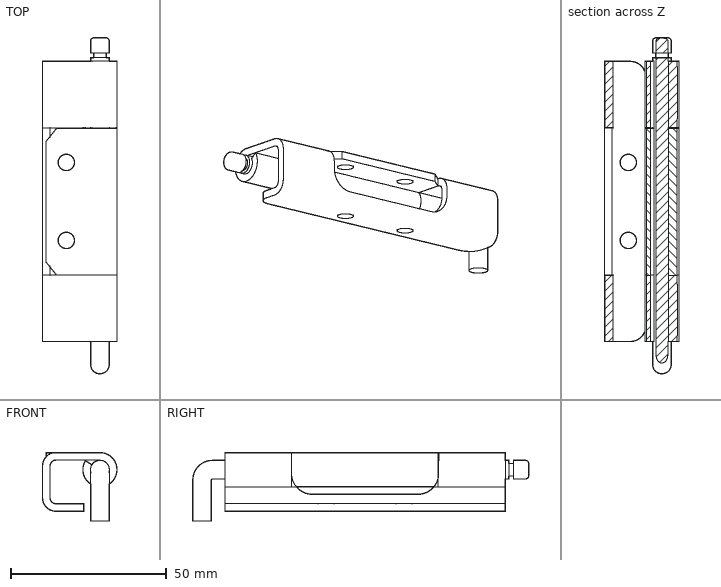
import cadquery as cq
import math


sheet = 2.5
pin_radius = 3.0
curl_radius = pin_radius + sheet
curl_end_angle = 148.0

bracket_length = 90.1
bracket_left = -18.5
bracket_height = 18.9
bracket_bottom = curl_radius - bracket_height
bend_radius = 4.3
lip_end = -5.2
lip_corner_radius = 5.0
window_length = 47.3
window_floor = -7.9
window_corner_radius = 6.7

end_gap = 0.2
leaf_length = window_length - end_gap
leaf_shift = -end_gap / 2
leaf_left = -17.3
leaf_chamfer_length = 4.1
leaf_chamfer_width = 3.3

hole_diameter = 5.2
hole_pitch = 25.1
hole_x = -10.8

pin_tip = 52.6
tip_rounding = 1.1
groove_top = 47.6
groove_bottom = 46.2
groove_radius = 2.0
elbow_radius = 3.3
elbow_start = -49.0
handle_end = -16.5


def rolled_profile(left):
    """Flat sheet from X = left to the pin, rolled clockwise round the pin (in the XZ plane)."""
    middle_angle = math.radians((curl_end_angle - 270.0) / 2)
    end_angle = math.radians(curl_end_angle)

    def on_circle(radius, angle):
        return (radius * math.cos(angle), radius * math.sin(angle))

    return (
        cq.Workplane("XZ")
        .moveTo(left, curl_radius)
        .lineTo(0, curl_radius)
        .threePointArc(on_circle(curl_radius, middle_angle), on_circle(curl_radius, end_angle))
        .lineTo(*on_circle(pin_radius, end_angle))
        .threePointArc(on_circle(pin_radius, middle_angle), (0, pin_radius))
        .lineTo(left, pin_radius)
        .close()
    )


def screw_holes():
    """Vertical cutters for the two screw holes."""
    return (
        cq.Workplane("XY", origin=(hole_x, 0, bracket_bottom))
        .rarray(1.1, hole_pitch, 1, 2)
        .circle(hole_diameter / 2)
        .extrude(bracket_height)
    )


def make_bracket():
    """C-shaped bracket with a rolled edge, cut open in the middle for the leaf."""
    rolled_sheet = rolled_profile(bracket_left + bend_radius).extrude(bracket_length / 2, both=True)

    inner_left = bracket_left + sheet
    bend_x = bracket_left + bend_radius
    inner_bend = bend_radius - sheet
    diagonal = math.sqrt(0.5)
    upper_bend_z = curl_radius - bend_radius
    lower_bend_z = bracket_bottom + bend_radius
    channel = (
        cq.Workplane("XZ")
        .moveTo(bend_x, curl_radius)
        .threePointArc(
            (bend_x - bend_radius * diagonal, upper_bend_z + bend_radius * diagonal),
            (bracket_left, upper_bend_z),
        )
        .lineTo(bracket_left, lower_bend_z)
        .threePointArc(
            (bend_x - bend_radius * diagonal, lower_bend_z - bend_radius * diagonal),
            (bend_x, bracket_bottom),
        )
        .lineTo(lip_end, bracket_bottom)
        .lineTo(lip_end, bracket_bottom + sheet)
        .lineTo(bend_x, bracket_bottom + sheet)
        .threePointArc(
            (bend_x - inner_bend * diagonal, lower_bend_z - inner_bend * diagonal),
            (inner_left, lower_bend_z),
        )
        .lineTo(inner_left, upper_bend_z)
        .threePointArc(
            (bend_x - inner_bend * diagonal, upper_bend_z + inner_bend * diagonal),
            (bend_x, pin_radius),
        )
        .close()
        .extrude(bracket_length / 2, both=True)
        .edges(cq.selectors.BoxSelector(
            (lip_end - sheet, -bracket_length, bracket_bottom - sheet),
            (lip_end + sheet, bracket_length, bracket_bottom + 2 * sheet),
        ))
        .edges("|Z")
        .fillet(lip_corner_radius)
    )

    window_height = curl_radius - window_floor
    window = (
        cq.Workplane("XY")
        .box(curl_radius - bracket_left, window_length, window_height)
        .edges("|X and <Z")
        .fillet(window_corner_radius)
        .translate(((curl_radius + bracket_left) / 2, 0, (curl_radius + window_floor) / 2))
    )
    return rolled_sheet.union(channel).cut(window).cut(screw_holes())


def make_leaf():
    """Flat leaf with two clipped corners, rolled round the pin inside the bracket window."""
    leaf = (
        rolled_profile(leaf_left)
        .extrude(leaf_length / 2, both=True)
        .translate((0, leaf_shift, 0))
        .cut(screw_holes())
    )
    for side in (-1, 1):
        corner_y = leaf_shift + side * leaf_length / 2
        clipped_corner = (
            cq.Workplane("XY", origin=(0, 0, pin_radius))
            .moveTo(leaf_left, corner_y)
            .lineTo(leaf_left + leaf_chamfer_width, corner_y)
            .lineTo(leaf_left, corner_y - side * leaf_chamfer_length)
            .close()
            .extrude(sheet)
        )
        leaf = leaf.cut(clipped_corner)
    return leaf


def make_pin():
    """Round pin with a grooved, rounded head at +Y and a handle bent down at -Y."""
    shaft = (
        cq.Workplane("XZ", origin=(0, pin_tip, 0))
        .circle(pin_radius)
        .extrude(pin_tip - elbow_start)
        .faces(">Y")
        .fillet(tip_rounding)
    )
    groove = (
        cq.Workplane("XZ", origin=(0, groove_top, 0))
        .circle(2 * pin_radius)
        .circle(groove_radius)
        .extrude(groove_top - groove_bottom)
    )
    handle_path = (
        cq.Workplane("YZ")
        .moveTo(elbow_start, 0)
        .radiusArc((elbow_start - elbow_radius, -elbow_radius), -elbow_radius)
        .lineTo(elbow_start - elbow_radius, handle_end)
    )
    handle = cq.Workplane("XZ", origin=(0, elbow_start, 0)).circle(pin_radius).sweep(handle_path)
    return shaft.cut(groove).union(handle)


bracket = make_bracket()
leaf = make_leaf()
pin = make_pin()

result = cq.Compound.makeCompound([bracket.val(), leaf.val(), pin.val()])